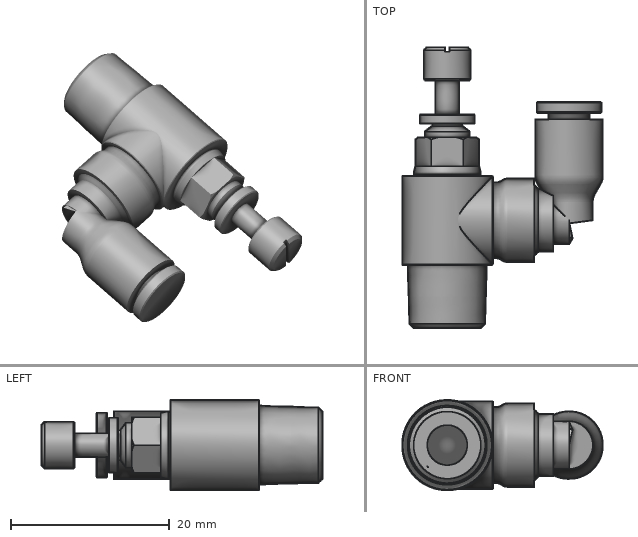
import cadquery as cq
import math


overall_width = 25.3

body_radius = 5.7
body_half_length = 5.62
body_edge_chamfer = 0.1

thread_root_radius = 5.0
thread_gauge_radius = 4.88
thread_tip_radius = 4.78
thread_gauge_length = 3.95
thread_length = 7.95
thread_tip_chamfer = 0.55
bore_radius = 2.52
bore_depth = thread_length

seat_foot_radius = 4.1
seat_flare_radius = 4.23
seat_top_radius = 4.04
seat_foot_height = 0.2
seat_rim_height = 0.2
seat_height = 1.16
hex_sides = 6
hex_across_flats = 6.97
hex_height = 3.65
hex_crown_height = 0.25
hex_crown_radius = 3.68
shoulder_radius = 2.84
shoulder_height = 0.75
shoulder_cone_height = 0.67
shoulder_top_radius = 1.95

nut_neck_radius = 1.9
nut_neck_height = 0.28
nut_radius = 3.47
nut_thickness = 1.24
nut_edge_chamfer = 0.12
stem_radius = 1.52
stem_length = 4.22
knob_radius = 2.97
knob_height = 4.22
knob_top_chamfer = 0.4
knob_bottom_chamfer = 0.22
slot_width = 0.55
slot_depth = 0.58

stub_radius = 5.54
stub_end = 5.76
stub_edge_chamfer = 0.1
neck_radius = 4.8
collar_ramp_start = 6.19
collar_bend_radius = 1.1
collar_ramp_length = 0.31
collar_end = 10.92
collar_cone_radius = 4.5
sleeve_radius = 3.94
sleeve_end = 13.36
elbow_radius = 3.0

outlet_radius = 4.27
outlet_x = overall_width - body_radius - outlet_radius
outlet_bend_start = 2.33
outlet_bend_radius = 2.1
outlet_end = 12.7
ring_neck_radius = 2.62
ring_neck_length = 0.8
ring_radius = 4.1
ring_thickness = 1.42
ring_edge_chamfer = 0.15

corner_drop = 0.4
tip_reach = 0.45
tip_depth = 2.27

ramp_angle = math.radians(30)


def turned_y(points, axis_x=0):
    """Solid turned about a line parallel to Y; points are (radius, y)."""
    closed = [(0, points[0][1])] + points + [(0, points[-1][1])]
    profile = cq.Workplane("XY").polyline(closed).close()
    return profile.revolve(360, (0, 0, 0), (0, 1, 0)).translate((axis_x, 0, 0))


def chamfered_disc(radius, bottom, top, bottom_chamfer, top_chamfer):
    """Cylinder about Y with a 45 degree chamfer on both rims."""
    return turned_y([
        (radius - bottom_chamfer, bottom),
        (radius, bottom + bottom_chamfer),
        (radius, top - top_chamfer),
        (radius - top_chamfer, top),
    ])


def ramp_arcs(profile, place, start, small_radius, bend_radius, ramp_length, large_radius):
    """Extend a profile by a bend, a straight ramp and a counter-bend up to a larger radius."""
    def bend(angle):
        return bend_radius * math.sin(angle), bend_radius * (1 - math.cos(angle))

    bend_length, bend_rise = bend(ramp_angle)
    mid_length, mid_rise = bend(ramp_angle / 2)
    end = start + 2 * bend_length + ramp_length
    profile = profile.threePointArc(
        place(start + mid_length, small_radius + mid_rise),
        place(start + bend_length, small_radius + bend_rise),
    )
    profile = profile.lineTo(*place(end - bend_length, large_radius - bend_rise))
    return profile.threePointArc(
        place(end - mid_length, large_radius - mid_rise),
        place(end, large_radius),
    )


def make_body():
    return chamfered_disc(
        body_radius, -body_half_length, body_half_length, body_edge_chamfer, body_edge_chamfer
    )


def make_thread():
    top = -body_half_length
    bottom = top - thread_length
    return turned_y([
        (thread_tip_radius - thread_tip_chamfer, bottom),
        (thread_tip_radius, bottom + thread_tip_chamfer),
        (thread_gauge_radius, top - thread_gauge_length),
        (thread_root_radius, top),
    ])


def make_bore():
    bottom = -body_half_length - thread_length
    return turned_y([(bore_radius, bottom), (bore_radius, bottom + bore_depth)])


def make_hexagon(bottom):
    """Hexagon with corners on the X axis and a conical crown on its top corners."""
    corner_radius = hex_across_flats / (2 * math.cos(math.pi / hex_sides))
    prism = (
        cq.Workplane("XZ", origin=(0, bottom, 0))
        .polygon(hex_sides, 2 * corner_radius)
        .extrude(-hex_height)
    )
    top = bottom + hex_height
    crown = turned_y([
        (corner_radius, bottom),
        (corner_radius, top - hex_crown_height),
        (hex_crown_radius, top),
    ])
    return prism.intersect(crown)


def make_valve_stack():
    """Everything on the valve axis above the body."""
    seat_bottom = body_half_length
    hex_bottom = seat_bottom + seat_height
    shoulder_bottom = hex_bottom + hex_height
    cone_bottom = shoulder_bottom + shoulder_height
    neck_bottom = cone_bottom + shoulder_cone_height
    nut_bottom = neck_bottom + nut_neck_height
    stem_bottom = nut_bottom + nut_thickness
    knob_bottom = stem_bottom + stem_length
    knob_top = knob_bottom + knob_height

    seat = turned_y([
        (seat_foot_radius, seat_bottom),
        (seat_flare_radius, seat_bottom + seat_foot_height),
        (seat_flare_radius, seat_bottom + seat_foot_height + seat_rim_height),
        (seat_top_radius, hex_bottom),
    ])
    shoulder = turned_y([
        (shoulder_radius, shoulder_bottom),
        (shoulder_radius, cone_bottom),
        (shoulder_top_radius, neck_bottom),
    ])
    neck = turned_y([(nut_neck_radius, neck_bottom), (nut_neck_radius, nut_bottom)])
    nut = chamfered_disc(nut_radius, nut_bottom, stem_bottom, nut_edge_chamfer, nut_edge_chamfer)
    stem = turned_y([(stem_radius, stem_bottom), (stem_radius, knob_bottom)])
    knob = chamfered_disc(knob_radius, knob_bottom, knob_top, knob_bottom_chamfer, knob_top_chamfer)
    slot = cq.Workplane("XY").box(slot_width, 2 * slot_depth, 2 * knob_radius)
    knob = knob.cut(slot.translate((0, knob_top, 0)))
    return (
        seat.union(make_hexagon(hex_bottom))
        .union(shoulder)
        .union(neck)
        .union(nut)
        .union(stem)
        .union(knob)
    )


def make_branch():
    """Stub, neck, swivel collar and sleeve, turned about X."""
    def place(along, radius):
        return along, radius

    bends_rise = 2 * collar_bend_radius * (1 - math.cos(ramp_angle))
    collar_radius = neck_radius + bends_rise + collar_ramp_length * math.tan(ramp_angle)
    profile = (
        cq.Workplane("XY")
        .moveTo(0, 0)
        .lineTo(0, stub_radius)
        .lineTo(stub_end - stub_edge_chamfer, stub_radius)
        .lineTo(stub_end, stub_radius - stub_edge_chamfer)
        .lineTo(stub_end, neck_radius)
        .lineTo(collar_ramp_start, neck_radius)
    )
    profile = ramp_arcs(
        profile, place, collar_ramp_start, neck_radius,
        collar_bend_radius, collar_ramp_length, collar_radius,
    )
    cone_length = collar_cone_radius - sleeve_radius
    profile = (
        profile.lineTo(collar_end, collar_radius)
        .lineTo(collar_end, collar_cone_radius)
        .lineTo(collar_end + cone_length, sleeve_radius)
        .lineTo(sleeve_end, sleeve_radius)
        .lineTo(sleeve_end, 0)
        .close()
    )
    return profile.revolve(360, (0, 0, 0), (1, 0, 0))


def make_outlet():
    """Tube outlet above the elbow, with its release ring."""
    def place(along, radius):
        return outlet_x + radius, along

    ring_bottom = outlet_end + ring_neck_length
    ring_top = ring_bottom + ring_thickness
    bends_rise = 2 * outlet_bend_radius * (1 - math.cos(ramp_angle))
    ramp_length = (outlet_radius - elbow_radius - bends_rise) / math.tan(ramp_angle)
    profile = (
        cq.Workplane("XY")
        .moveTo(*place(0, 0))
        .lineTo(*place(0, elbow_radius))
        .lineTo(*place(outlet_bend_start, elbow_radius))
    )
    profile = ramp_arcs(
        profile, place, outlet_bend_start, elbow_radius,
        outlet_bend_radius, ramp_length, outlet_radius,
    )
    upper_outline = [
        (outlet_end, outlet_radius),
        (outlet_end, ring_neck_radius),
        (ring_bottom, ring_neck_radius),
        (ring_bottom, ring_radius - ring_edge_chamfer),
        (ring_bottom + ring_edge_chamfer, ring_radius),
        (ring_top - ring_edge_chamfer, ring_radius),
        (ring_top, ring_radius - ring_edge_chamfer),
        (ring_top, 0),
    ]
    for along, radius in upper_outline:
        profile = profile.lineTo(*place(along, radius))
    return profile.close().revolve(360, (outlet_x, 0, 0), (outlet_x, 1, 0))


def make_elbow_arm():
    """Horizontal arm of the elbow, ending flat on the outlet axis."""
    arm_start = sleeve_end - elbow_radius
    arm = cq.Workplane("YZ", origin=(arm_start, 0, 0)).circle(elbow_radius)
    return arm.extrude(outlet_x - arm_start)


def make_corner_floor():
    """Shallow sloping floor under the outer half of the outlet."""
    wedge = (
        cq.Workplane("XY")
        .polyline([
            (outlet_x, 0),
            (outlet_x + elbow_radius, 0),
            (outlet_x, -corner_drop),
        ])
        .close()
        .extrude(elbow_radius, both=True)
    )
    column = turned_y([(elbow_radius, -corner_drop), (elbow_radius, 0)], outlet_x)
    return wedge.intersect(column)


def make_corner_tip():
    """Faceted tip on the arm's end face; its apex lies one elbow radius from the corner centre."""
    diagonal = elbow_radius * math.cos(math.radians(45))
    tip_height = math.sqrt(elbow_radius**2 - tip_reach**2 - tip_depth**2)
    apex = cq.Vector(outlet_x + tip_reach, -tip_depth, tip_height)
    base = [
        cq.Vector(outlet_x, 0, elbow_radius),
        cq.Vector(outlet_x, -diagonal, diagonal),
        cq.Vector(outlet_x, -elbow_radius, 0),
    ]
    triangles = [base]
    for index, corner in enumerate(base):
        triangles.append([base[index - 1], corner, apex])
    faces = [cq.Face.makeFromWires(cq.Wire.makePolygon(t + [t[0]])) for t in triangles]
    return cq.Workplane(obj=cq.Solid.makeSolid(cq.Shell.makeShell(faces)))


result = (
    make_body()
    .union(make_thread())
    .union(make_valve_stack())
    .union(make_branch())
    .union(make_elbow_arm())
    .union(make_outlet())
    .union(make_corner_floor())
    .union(make_corner_tip())
    .cut(make_bore())
)